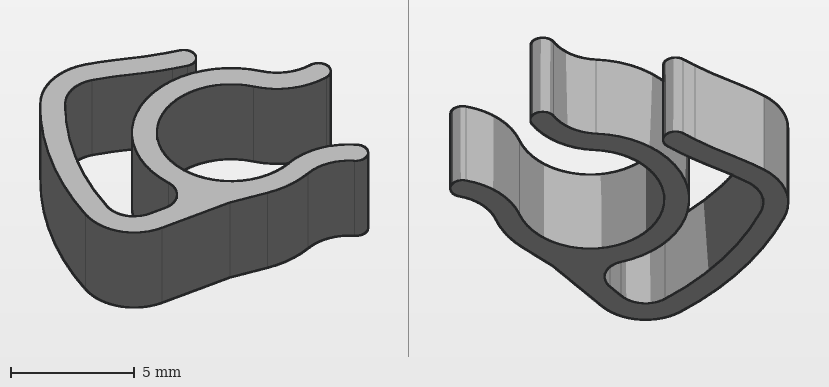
import cadquery as cq
import math

width = 4.0
wall = 1.01
half_wall = wall / 2

bore_radius = 3.0
ring_radius = bore_radius + wall
lip_gap = 3.85
lip_center_y = 3.45
top_y = 4.97

bottom_y = -7.46
left_x = -5.73
right_x = 4.9
base_radius = 13.3
left_corner_radius = 2.54
right_corner_radius = 2.27
arm_tip_x = -4.97
arm_top_y = 0.0
arm_straight_end_y = -1.12

web_kink = (4.13, -1.28)
pocket_fillet = 0.95


def polar(center, radius, angle):
    return (center[0] + radius * math.cos(angle), center[1] + radius * math.sin(angle))


def tangent_angle(point, center, radius, side):
    """Angle of the contact of a line from point touching a circle; side is +1 or -1."""
    dx = point[0] - center[0]
    dy = point[1] - center[1]
    return math.atan2(dy, dx) + side * math.acos(radius / math.hypot(dx, dy))


def extrude(profile):
    return profile.close().extrude(width)


def cylinder(center, radius):
    return cq.Workplane("XY").center(*center).circle(radius).extrude(width)


lip_face_x = lip_gap / 2
center_offset = bore_radius - lip_face_x
lip_center_x = (lip_center_y**2 - center_offset**2) / (2 * center_offset)
lip_center = (lip_center_x, lip_center_y)
lip_inner_radius = lip_center_x - lip_face_x
lip_outer_radius = lip_inner_radius - wall
lip_mid_radius = lip_inner_radius - half_wall
join_angle = math.atan2(lip_center_y, lip_center_x)
lip_tip_y = top_y - half_wall
lip_end_angle = math.pi - math.asin((lip_tip_y - lip_center_y) / lip_mid_radius)


def make_lip():
    start_angle = math.pi + join_angle
    middle_angle = (start_angle + lip_end_angle) / 2
    band = extrude(
        cq.Workplane("XY")
        .moveTo(*polar(lip_center, lip_inner_radius, start_angle))
        .threePointArc(
            polar(lip_center, lip_inner_radius, middle_angle),
            polar(lip_center, lip_inner_radius, lip_end_angle),
        )
        .lineTo(*polar(lip_center, lip_outer_radius, lip_end_angle))
        .threePointArc(
            polar(lip_center, lip_outer_radius, middle_angle),
            polar(lip_center, lip_outer_radius, start_angle),
        )
    )
    return band.union(cylinder(polar(lip_center, lip_mid_radius, lip_end_angle), half_wall))


def make_ring():
    origin = (0, 0)
    bottom_angle = -math.pi / 2
    left_angle = math.pi - join_angle
    return extrude(
        cq.Workplane("XY")
        .moveTo(*polar(origin, ring_radius, join_angle))
        .threePointArc(polar(origin, ring_radius, bottom_angle), polar(origin, ring_radius, left_angle))
        .lineTo(*polar(origin, bore_radius, left_angle))
        .threePointArc(polar(origin, bore_radius, bottom_angle), polar(origin, bore_radius, join_angle))
    )


base_center = (0, bottom_y + base_radius)


def corner_center(center_x, radius):
    return (center_x, base_center[1] - math.sqrt((base_radius - radius) ** 2 - center_x**2))


left_center = corner_center(left_x + left_corner_radius, left_corner_radius)
right_center = corner_center(right_x - right_corner_radius, right_corner_radius)
web_angle = tangent_angle(web_kink, right_center, right_corner_radius, -1)
inner_web_end = (web_kink[0] - wall * math.cos(web_angle), web_kink[1] - wall * math.sin(web_angle))


def base_angle(center):
    return math.atan2(center[1] - base_center[1], center[0] - base_center[0])


def make_hook():
    left_base = base_angle(left_center)
    right_base = base_angle(right_center)
    left_middle = (left_base - math.pi) / 2
    right_middle = (right_base + web_angle) / 2
    left_inner = left_corner_radius - wall
    right_inner = right_corner_radius - wall
    base_inner = base_radius - wall
    arm_left = arm_tip_x - half_wall
    arm_right = arm_tip_x + half_wall
    arm_tip_y = arm_top_y - half_wall
    up = (0, 1)
    down = (0, -1)
    return extrude(
        cq.Workplane("XY")
        .moveTo(arm_left, arm_tip_y)
        .lineTo(arm_left, arm_straight_end_y)
        .spline([(left_x, left_center[1])], tangents=[down, down], includeCurrent=True)
        .threePointArc(
            polar(left_center, left_corner_radius, left_middle),
            polar(left_center, left_corner_radius, left_base),
        )
        .threePointArc((0, bottom_y), polar(base_center, base_radius, right_base))
        .threePointArc(
            polar(right_center, right_corner_radius, right_middle),
            polar(right_center, right_corner_radius, web_angle),
        )
        .lineTo(*web_kink)
        .lineTo(*inner_web_end)
        .lineTo(*polar(right_center, right_inner, web_angle))
        .threePointArc(
            polar(right_center, right_inner, right_middle),
            polar(right_center, right_inner, right_base),
        )
        .threePointArc((0, bottom_y + wall), polar(base_center, base_inner, left_base))
        .threePointArc(
            polar(left_center, left_inner, left_middle),
            (left_x + wall, left_center[1]),
        )
        .spline([(arm_right, arm_straight_end_y)], tangents=[up, up], includeCurrent=True)
        .lineTo(arm_right, arm_tip_y)
        .threePointArc((arm_tip_x, arm_top_y), (arm_left, arm_tip_y))
    )


def make_web():
    """Wedge from the ring's tangent point to the kink, overlapping the ring and the hook."""
    contact = polar((0, 0), ring_radius, tangent_angle(web_kink, (0, 0), ring_radius, 1))
    ring_middle = (bore_radius + ring_radius) / 2
    return extrude(
        cq.Workplane("XY")
        .moveTo(*contact)
        .lineTo(*web_kink)
        .lineTo(*inner_web_end)
        .lineTo(*polar((0, 0), ring_middle, math.atan2(contact[1], contact[0])))
    )


inner_distance = (
    right_center[0] * math.cos(web_angle)
    + right_center[1] * math.sin(web_angle)
    + right_corner_radius
    - wall
)
pocket_corner = polar((0, 0), ring_radius, web_angle - math.acos(inner_distance / ring_radius))

lip = make_lip()
result = (
    make_ring()
    .union(lip)
    .union(lip.mirror("YZ"))
    .union(make_hook())
    .union(make_web())
    .edges("|Z")
    .edges(cq.selectors.NearestToPointSelector((*pocket_corner, width / 2)))
    .fillet(pocket_fillet)
)